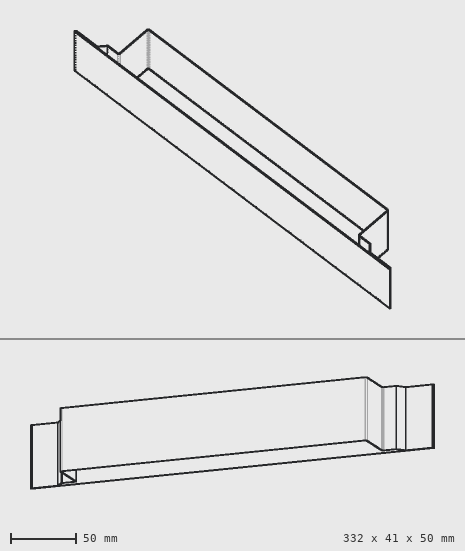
import cadquery as cq

plate_length = 332.0
plate_height = 50.0
plate_thickness = 1.0

sheet = 0.8
overall_depth = 41.0
outer_bend_radius = 2 * sheet
inner_bend_radius = outer_bend_radius - sheet
channel_half_width = 126.5
shelf_back = 8.0
shelf_half_width = 138.0
flange_start = 143.5
flange_end = 165.0

flange_back = plate_thickness + sheet
shelf_front = shelf_back - sheet
channel_inner_half_width = channel_half_width - sheet
slope_inset = sheet / 2


def mirrored_outline(right_side):
    """Complete a right-hand run of points with its mirror image about X = 0."""
    return right_side + [(-x, y) for x, y in reversed(right_side)]


def make_plate():
    return cq.Workplane("XY").box(
        plate_length, plate_thickness, plate_height, centered=(True, False, False)
    )


def make_bracket_blank():
    """Hat-shaped sheet with a step and a slope down to each flange, with sharp bends."""
    back_face = [
        (flange_end, flange_back),
        (flange_start, flange_back),
        (shelf_half_width, shelf_back),
        (channel_half_width, shelf_back),
        (channel_half_width, overall_depth),
    ]
    front_face = [
        (flange_end, plate_thickness),
        (flange_start - slope_inset, plate_thickness),
        (shelf_half_width - slope_inset, shelf_front),
        (channel_inner_half_width, shelf_front),
        (channel_inner_half_width, overall_depth - sheet),
    ]
    outline = mirrored_outline(back_face) + list(reversed(mirrored_outline(front_face)))
    return cq.Workplane("XY").polyline(outline).close().extrude(plate_height)


def round_bends(bracket):
    """Round both faces of the bends at the back and the front of the channel walls."""
    for half_width, depth, radius in (
        (channel_half_width, overall_depth, outer_bend_radius),
        (channel_inner_half_width, overall_depth - sheet, inner_bend_radius),
        (channel_half_width, shelf_back, inner_bend_radius),
        (channel_inner_half_width, shelf_front, outer_bend_radius),
    ):
        for side in (-1, 1):
            bend_edge = cq.selectors.NearestToPointSelector((side * half_width, depth, plate_height / 2))
            bracket = bracket.edges("|Z").edges(bend_edge).fillet(radius)
    return bracket


plate = make_plate()
bracket = round_bends(make_bracket_blank())

result = cq.Compound.makeCompound([plate.val(), bracket.val()])